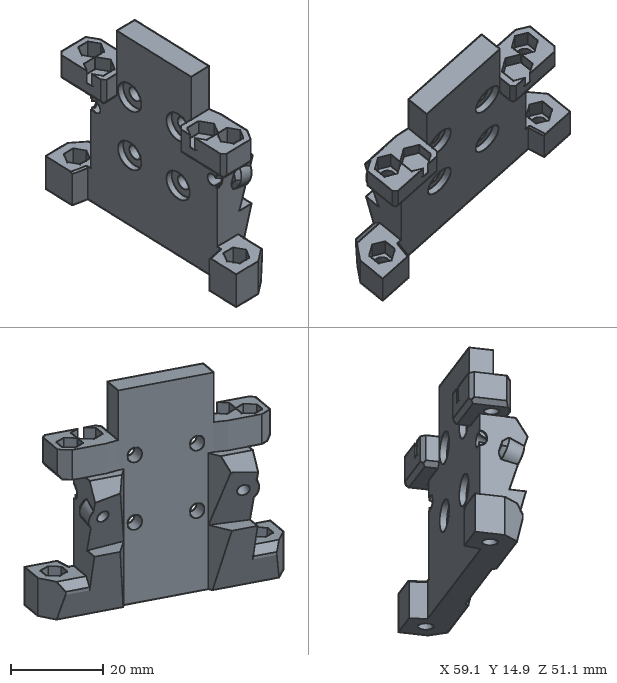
import cadquery as cq


height = 51.05
plate_front = 3.95
plate_back = 9.45
tab_half_width = 11.5
body_half_width = 19.6
body_top = 32.2

jaw_tip_y = 14.85
jaw_tip_z = 28.1
jaw_top_y = 12.1
notch_z = 15.2
upper_jaw_slope = 0.32
upper_jaw_tilt = 0.13
lower_jaw_tip_y = 14.5
lower_jaw_base_y = 10.35
channel_half_width = 10.15
channel_flare = 0.65

foot_half_span = 29.55
foot_height = 9.0
foot_front_inner_x = 21.3
foot_root_inner_x = 20.45
foot_inner_chamfer = 0.4
foot_side_depth = 6.75
foot_back_x = 25.4
foot_back_y = 12.05
foot_bevel_drop = 2.1
foot_bevel_y = 10.35
foot_nut_x = 24.75
foot_nut_y = 4.8
foot_hole_diameter = 3.5

lug_outer_x = 25.6
lug_top = 39.3
lug_back = 10.0
lug_corner = 0.95
lug_bottom_chamfer = 1.2
lug_side_depth = 8.35
lug_back_outer_x = 22.8
lug_back_inner_x = 14.65
lug_nut_x = 21.6
lug_nut_y = 6.1
lug_hole_diameter = 3.4

small_nut_corners = 5.85
large_nut_corners = 7.0
small_nut_depth = 4.7
large_nut_depth = 3.3
large_nut_x = 16.0
large_nut_y = 3.1

plate_hole_x = 7.5
plate_hole_heights = (19.1, 35.05)
plate_hole_diameter = 3.5
counterbore_diameter = 7.2
counterbore_depth = 1.6

screw_x = 18.1
screw_z = 26.55
screw_hole_diameter = 2.9
boss_diameter = 7.2
boss_front_y = 9.45
boss_length = 5.9
boss_taper_length = 1.1
boss_end_corners = 5.85
boss_end_turn = 30

relief_diameter = 3.4
relief_depth = 0.35
relief_z = 26.6

behind_part = 2 * jaw_tip_y


def prism_z(points, bottom, top):
    """Upright prism with an XY outline."""
    return cq.Workplane("XY").workplane(offset=bottom).polyline(points).close().extrude(top - bottom)


def prism_x(points, left, right):
    """Prism along X with a YZ outline."""
    return cq.Workplane("YZ").workplane(offset=left).polyline(points).close().extrude(right - left)


def hexagon_pocket(distance, y, corners, top, depth):
    """Pocket at the given distance left of the symmetry plane, with two hexagon corners on the Y direction."""
    return (
        cq.Workplane("XY", origin=(-distance, y, top - depth))
        .transformed(rotate=(0, 0, 90))
        .polygon(6, corners)
        .extrude(depth)
    )


def upright_hole(distance, y, diameter, bottom, top):
    """Vertical cylinder at the given distance left of the symmetry plane."""
    return cq.Workplane("XY", origin=(-distance, y, bottom)).circle(diameter / 2).extrude(top - bottom)


def body():
    """Body with both clamping jaws and the screw boss."""
    block = prism_x(
        [
            (plate_front, 0),
            (lower_jaw_base_y, 0),
            (lower_jaw_tip_y, notch_z),
            (jaw_tip_y, notch_z),
            (jaw_tip_y, jaw_tip_z),
            (jaw_top_y, body_top),
            (plate_front, body_top),
        ],
        -body_half_width,
        0,
    )
    return block.union(screw_boss()).cut(upper_clamping_cut())


def foot():
    """Foot block beside the body, sharing the slope of the lower clamping face."""
    block = prism_z(
        [
            (-foot_half_span, 0),
            (-foot_front_inner_x, 0),
            (-foot_root_inner_x, plate_front),
            (-body_half_width, plate_front),
            (-body_half_width, foot_back_y),
            (-foot_back_x, foot_back_y),
            (-foot_half_span, foot_side_depth),
        ],
        0,
        foot_height,
    )
    inner_top_edge = (-(foot_front_inner_x + foot_root_inner_x) / 2, plate_front / 2, foot_height)
    block = block.edges(cq.NearestToPointSelector(inner_top_edge)).chamfer(foot_inner_chamfer)

    lower_slope = (lower_jaw_tip_y - lower_jaw_base_y) / notch_z
    bevel_z = foot_height - foot_bevel_drop
    profile = prism_x(
        [
            (0, 0),
            (lower_jaw_base_y, 0),
            (lower_jaw_base_y + lower_slope * bevel_z, bevel_z),
            (foot_bevel_y, foot_height),
            (0, foot_height),
        ],
        -foot_half_span,
        0,
    )
    return block.intersect(profile)


def upper_clamping_cut():
    """Space behind the tilted upper clamping face, down to the notch."""
    def face_y(x, z):
        return jaw_tip_y + upper_jaw_slope * (z - jaw_tip_z) - upper_jaw_tilt * (x + body_half_width)

    def section(x):
        corners = [
            (face_y(x, notch_z), notch_z),
            (face_y(x, height), height),
            (behind_part, height),
            (behind_part, notch_z),
        ]
        return cq.Wire.makePolygon([cq.Vector(x, y, z) for y, z in corners], close=True)

    return cq.Workplane(cq.Solid.makeLoft([section(-foot_half_span), section(0)], True))


def back_channel():
    """Flared vertical channel that leaves the plain plate between the jaws."""
    flare = channel_flare * (behind_part - plate_back)
    return prism_z(
        [
            (0, plate_back),
            (-channel_half_width, plate_back),
            (-channel_half_width - flare, behind_part),
            (0, behind_part),
        ],
        0,
        body_top,
    )


def lug():
    """Block beside the tab, standing proud of the plate front."""
    outline = [
        (-lug_outer_x + lug_corner, 0),
        (-tab_half_width - lug_corner, 0),
        (-tab_half_width, lug_corner),
        (-tab_half_width, plate_back),
        (-lug_back_inner_x, lug_back),
        (-lug_back_outer_x, lug_back),
        (-lug_outer_x, lug_side_depth),
        (-lug_outer_x, lug_corner),
    ]
    block = prism_z(outline, body_top, lug_top)

    bevel_top = body_top + lug_bottom_chamfer
    front_cut = prism_x(
        [(0, body_top), (lug_corner, body_top), (0, bevel_top)], -lug_outer_x, -tab_half_width
    )
    outer_cut = side_bevel(-lug_outer_x, 1, lug_back)
    inner_cut = side_bevel(-tab_half_width, -1, plate_front)
    return block.cut(front_cut).cut(outer_cut).cut(inner_cut)


def side_bevel(x, inward, depth):
    """Wedge that bevels the bottom edge of a lug side; inward is +1 or -1 along X."""
    return (
        cq.Workplane("XZ")
        .polyline(
            [(x, body_top), (x + inward * lug_corner, body_top), (x, body_top + lug_bottom_chamfer)]
        )
        .close()
        .extrude(-depth)
    )


def screw_plane(y):
    """Plane on the screw axis at depth y, with its normal pointing to the front."""
    run = y - plate_front
    origin = (-screw_x + upper_jaw_tilt * run, y, screw_z - upper_jaw_slope * run)
    normal = (-upper_jaw_tilt, -1, upper_jaw_slope)
    return cq.Plane(origin=origin, xDir=(0, upper_jaw_slope, 1), normal=normal)


def screw_boss():
    """Barrel that sticks out of the body side and narrows to a hexagon at its front end."""
    radius = boss_diameter / 2
    front = cq.Workplane(screw_plane(boss_front_y))
    barrel = front.circle(radius).extrude(-boss_length)
    tip = (
        front.circle(radius)
        .workplane(offset=boss_taper_length)
        .transformed(rotate=(0, 0, boss_end_turn))
        .polygon(6, boss_end_corners)
        .loft()
    )
    return barrel.union(tip)


def screw_hole():
    """Hole along the slanted screw axis, right through body and boss."""
    return cq.Workplane(screw_plane(0)).circle(screw_hole_diameter / 2).extrude(-behind_part)


def side_relief():
    """Shallow round recess in the body side where the screw hole leaves the front corner."""
    side = cq.Workplane("YZ", origin=(-body_half_width, plate_front, relief_z))
    return side.circle(relief_diameter / 2).extrude(relief_depth)


def plate_holes():
    """Two counterbored holes, one above the other."""
    centres = [(-plate_hole_x, z) for z in plate_hole_heights]
    front = cq.Workplane("XZ", origin=(0, plate_front, 0)).pushPoints(centres)
    holes = front.circle(plate_hole_diameter / 2).extrude(plate_front - plate_back)
    counterbores = front.circle(counterbore_diameter / 2).extrude(-counterbore_depth)
    return holes.union(counterbores)


def nut_pockets():
    """Hexagon pockets in the tops of foot and lug, with the bolt holes below them."""
    foot_nut = hexagon_pocket(foot_nut_x, foot_nut_y, small_nut_corners, foot_height, small_nut_depth)
    foot_hole = upright_hole(foot_nut_x, foot_nut_y, foot_hole_diameter, 0, foot_height)
    lug_nut = hexagon_pocket(lug_nut_x, lug_nut_y, small_nut_corners, lug_top, small_nut_depth)
    lug_hole = upright_hole(lug_nut_x, lug_nut_y, lug_hole_diameter, body_top, lug_top)
    large_nut = hexagon_pocket(large_nut_x, large_nut_y, large_nut_corners, lug_top, large_nut_depth)
    return foot_nut.union(foot_hole).union(lug_nut).union(lug_hole).union(large_nut)


def tab():
    """Plain plate between the jaws, running up past the lugs."""
    block = cq.Workplane("XY").box(tab_half_width, plate_back - plate_front, height, centered=False)
    return block.translate((-tab_half_width, plate_front, 0))


half = body().union(foot()).cut(back_channel()).union(tab()).union(lug())
half = half.cut(plate_holes()).cut(screw_hole()).cut(side_relief()).cut(nut_pockets())
result = half.union(half.mirror("YZ"))